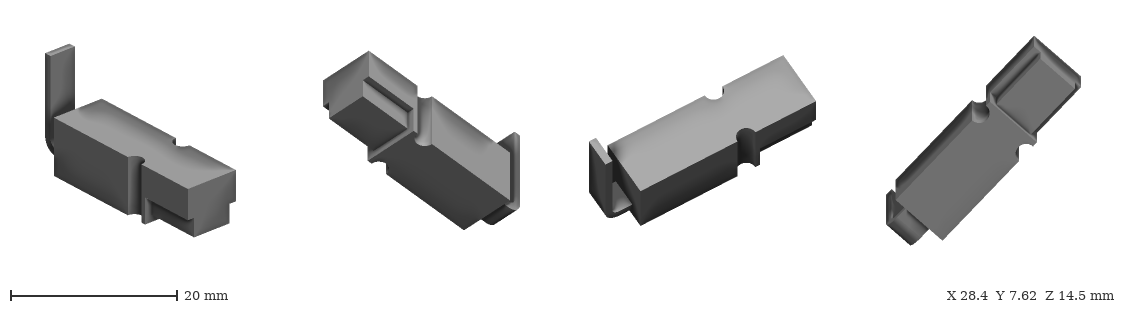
import cadquery as cq

total_length = 28.45
total_height = 14.48

body_start = 3.78
body_width = 7.62
body_height = 7.88
body_length = total_length - body_start

groove_x = 18.65
groove_radius = 1.25

mating_start = 20.6
overhang_bottom = 3.65
tongue_bottom = 1.0
tongue_inset = 1.0
tongue_width = body_width - 2 * tongue_inset
mating_length = total_length - mating_start

terminal_thickness = 1.0
terminal_width = 3.85
terminal_bottom = 1.28
bend_inner_radius = 1.0
bend_outer_radius = bend_inner_radius + terminal_thickness


def block(start_x, length, width, bottom, top):
    """Box centred on Y = 0, running along +X from start_x."""
    return (
        cq.Workplane("XY", origin=(start_x, 0, bottom))
        .box(length, width, top - bottom, centered=(False, True, False))
    )


def make_housing():
    housing = block(body_start, body_length, body_width, 0, body_height)
    housing = housing.cut(block(mating_start, mating_length, body_width, 0, overhang_bottom))
    housing = housing.union(
        block(mating_start, mating_length, tongue_width, tongue_bottom, overhang_bottom)
    )
    grooves = (
        cq.Workplane("XY")
        .pushPoints([(groove_x, side * body_width / 2) for side in (-1, 1)])
        .circle(groove_radius)
        .extrude(body_height)
    )
    return housing.cut(grooves)


def make_terminal():
    """L-shaped strip: a foot meeting the housing and an upright leg."""
    foot_top = terminal_bottom + terminal_thickness
    bend_z = terminal_bottom + bend_outer_radius
    return (
        cq.Workplane("XZ")
        .moveTo(body_start, terminal_bottom)
        .lineTo(bend_outer_radius, terminal_bottom)
        .radiusArc((0, bend_z), bend_outer_radius)
        .lineTo(0, total_height)
        .lineTo(terminal_thickness, total_height)
        .lineTo(terminal_thickness, bend_z)
        .radiusArc((bend_outer_radius, foot_top), -bend_inner_radius)
        .lineTo(body_start, foot_top)
        .close()
        .extrude(terminal_width / 2, both=True)
    )


result = make_housing().union(make_terminal())